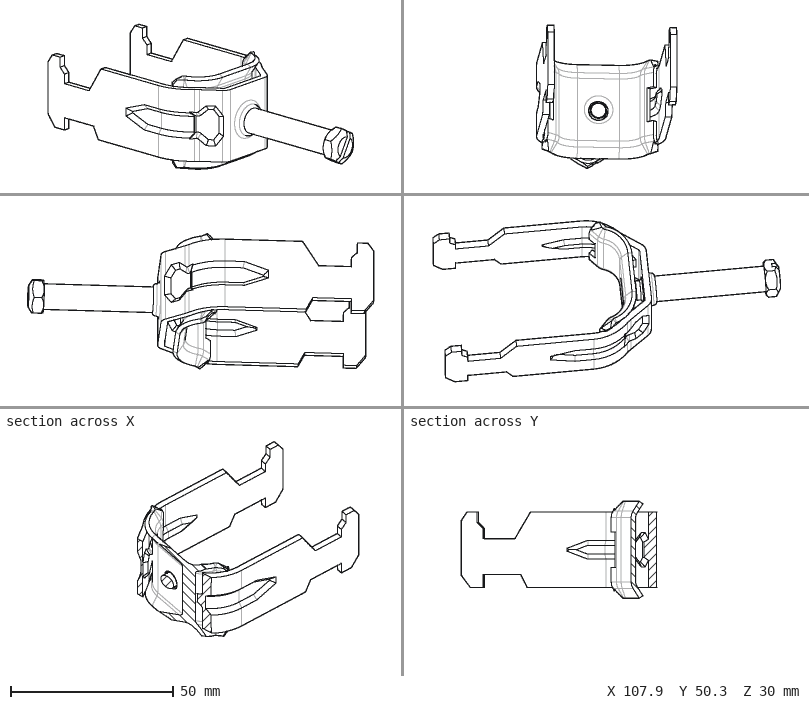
import cadquery as cq
import math

HEADING = -13.9

THICKNESS = 2.0
HALF_SPREAD = 20.0
ARM_END = -49.1
BACK = 15.9
HALF_HEIGHT = 11.7
SHOULDER_RADIUS = 15.3
SHOULDER_START = -3.1
SHOULDER_ANGLE = 45
FLANK_ANGLE = 36
FLANK_RADIUS = 9.7
CORNER_RADIUS = 3.0
CORNER_HALF_WIDTH = 9.4

HOOK_TOP_CHAMFER = 1.8
HOOK_TOP_FLAT_END = 5.1
NECK_START = 6.9
NECK_TOP_END = 17.0
NECK_BOTTOM_END = 18.9
BODY_TOP_START = 22.0
BODY_BOTTOM_START = 20.9
HOOK_BOTTOM_CHAMFER = 2.9
HOOK_TOP_SHOULDER = 9.0
HOOK_STEP_HIGH = 8.4
HOOK_STEP_LOW = 6.6
NECK_TOP = 3.5
NECK_BOTTOM = -7.7
HOOK_BOTTOM_SHOULDER = -7.9

RIB_DEPTH = 1.3
RIB_TIP = -16.6
RIB_TIP_HALF_HEIGHT = 1.3
RIB_FULL_START = -9.1
RIB_HALF_HEIGHT = 4.1
RIB_WALL_ANGLE = 50
RIB_OVERLAP = 0.4
BEAD_SHRINK = 1.2
PAD_LEAD_IN = 2.5
PAD_FULL_START = 2.8
PAD_FULL_END = 5.7
PAD_END = 8.2
PAD_HALF_HEIGHT = 6.5
PAD_END_HALF_HEIGHT = 3.2

SHANK_DIAMETER = 8.0
SHANK_END = 14.0
NECK_DIAMETER = 6.0
NECK_SHOULDER = 13.2
NECK_END = 11.9
PIN_DIAMETER = 5.0
PIN_START = 11.2
TIP_DIAMETER = 4.5
TIP = 8.2
HEAD_START = 51.7
HEAD_END = 56.3
HEAD_ACROSS_FLATS = 10.0
HEAD_FACE_DIAMETER = 6.7
HEAD_CROWN_START = 54.8
HEAD_UNDERSIDE_CHAMFER = 0.8
SLOT_WIDTH = 1.5
SLOT_BOTTOM = 54.2
SLOT_ANGLE = 60

COLLAR_DIAMETER = 10.0

SADDLE_THICKNESS = 1.5
SADDLE_BACK = 7.5
SADDLE_HALF_FLAT = 6.5
SADDLE_RADIUS = 6.4
SADDLE_TURN = 72
SADDLE_TAIL_RADIUS = 4.1
SADDLE_TAIL_TURN = 30
SADDLE_TAIL_LENGTH = 3.5
SADDLE_HALF_HEIGHT = 15.0
FLARE_START = 9.9
FLARE_RADIUS = 3.7
FLARE_ANGLE = 32
SADDLE_HOLE_DIAMETER = 6.0
SADDLE_HOLE_LIP = 1.4
LEG_NOTCH_HALF_HEIGHT = 5.4
LEG_NOTCH_DEPTH = 2.4
LEG_END = -0.2
LEG_TRIM_LENGTH = 3.0
LEG_TRIM_HEIGHT = 2.9


def bend_corners():
    """Sharp corners of the strap's outer face on the +Y side, arm bend first."""
    shoulder = math.radians(SHOULDER_ANGLE)
    flank_slope = math.tan(math.radians(FLANK_ANGLE))
    arm_x = SHOULDER_START + SHOULDER_RADIUS * math.tan(shoulder / 2)
    waist_x = (HALF_SPREAD + arm_x * math.tan(shoulder) - CORNER_HALF_WIDTH - BACK * flank_slope)
    waist_x /= math.tan(shoulder) - flank_slope
    waist_y = CORNER_HALF_WIDTH + (BACK - waist_x) * flank_slope
    return [(arm_x, HALF_SPREAD), (waist_x, waist_y), (BACK, CORNER_HALF_WIDTH)]


def bend_block(inset):
    """Solid block inside the strap's outer face, moved inward by the inset."""
    angles = [0, SHOULDER_ANGLE, FLANK_ANGLE, 90]
    corners = []
    for (x, y), before, after in zip(bend_corners(), angles, angles[1:]):
        normal = math.radians(90 - (before + after) / 2)
        reach = inset / math.cos(math.radians((after - before) / 2))
        corners.append((x - reach * math.cos(normal), y - reach * math.sin(normal)))
    arm, waist, back = corners
    upper = [(ARM_END - THICKNESS, arm[1]), arm, waist, back]
    lower = [(x, -y) for x, y in reversed(upper)]
    block = cq.Workplane("XY").polyline(upper + lower).close().extrude(HALF_HEIGHT, both=True)
    radii = [SHOULDER_RADIUS - inset, FLANK_RADIUS + inset, CORNER_RADIUS - inset]
    for corner, radius in zip(corners, radii):
        if radius > 0:
            for side in (1, -1):
                picker = cq.selectors.NearestToPointSelector((corner[0], side * corner[1], 0))
                block = block.edges("|Z").edges(picker).fillet(radius)
    return block


def hook_profile():
    """Side outline of the strap with its hooked arm ends, as a slab across both arms."""
    points = [
        (ARM_END, HOOK_TOP_SHOULDER),
        (ARM_END + HOOK_TOP_CHAMFER, HALF_HEIGHT),
        (ARM_END + HOOK_TOP_FLAT_END, HALF_HEIGHT),
        (ARM_END + HOOK_TOP_FLAT_END, HOOK_STEP_HIGH),
        (ARM_END + NECK_START, HOOK_STEP_LOW),
        (ARM_END + NECK_START, NECK_TOP),
        (ARM_END + NECK_TOP_END, NECK_TOP),
        (ARM_END + BODY_TOP_START, HALF_HEIGHT),
        (BACK, HALF_HEIGHT),
        (BACK, -HALF_HEIGHT),
        (ARM_END + BODY_BOTTOM_START, -HALF_HEIGHT),
        (ARM_END + NECK_BOTTOM_END, NECK_BOTTOM),
        (ARM_END + NECK_START, NECK_BOTTOM),
        (ARM_END + NECK_START, -HALF_HEIGHT),
        (ARM_END + HOOK_BOTTOM_CHAMFER, -HALF_HEIGHT),
        (ARM_END, HOOK_BOTTOM_SHOULDER),
    ]
    return cq.Workplane("XZ").polyline(points).close().extrude(HALF_SPREAD, both=True)


def tapered_pad(plane, outline, height, shrink):
    """Raised pad on a plane with sloped walls, its outline shrunk all round."""
    pad = cq.Workplane(plane).polyline(outline).close().offset2D(-shrink, "intersection")
    return pad.extrude(height, taper=RIB_WALL_ANGLE)


def rib_body(surface, surface_shrink):
    """Rib on the +Y side, rising inward from a sheet surface given by its depth below the outer face."""
    wall_slope = math.tan(math.radians(RIB_WALL_ANGLE))
    start = surface - RIB_OVERLAP
    height = RIB_DEPTH + RIB_OVERLAP
    shrink = surface_shrink - RIB_OVERLAP * wall_slope

    run_out = SHOULDER_START + height * wall_slope + shrink
    arm_plane = cq.Plane(origin=(0, HALF_SPREAD - start, 0), xDir=(1, 0, 0), normal=(0, -1, 0))
    arrow = tapered_pad(arm_plane, [
        (RIB_TIP, -RIB_TIP_HALF_HEIGHT),
        (RIB_TIP, RIB_TIP_HALF_HEIGHT),
        (RIB_FULL_START, RIB_HALF_HEIGHT),
        (run_out, RIB_HALF_HEIGHT),
        (run_out, -RIB_HALF_HEIGHT),
        (RIB_FULL_START, -RIB_HALF_HEIGHT),
    ], height, shrink)

    outer = SHOULDER_RADIUS - start
    inner = outer - height
    half_outer = RIB_HALF_HEIGHT - shrink
    half_inner = half_outer - height * wall_slope
    bend_plane = cq.Plane(
        origin=(SHOULDER_START, HALF_SPREAD - SHOULDER_RADIUS, 0), xDir=(0, 1, 0), normal=(-1, 0, 0))
    stem = (
        cq.Workplane(bend_plane)
        .polyline([(outer, half_outer), (inner, half_inner), (inner, -half_inner), (outer, -half_outer)])
        .close()
        .revolve(SHOULDER_ANGLE, (0, 0, 0), (0, 1, 0))
    )

    slope = math.radians(FLANK_ANGLE)
    inward = cq.Vector(-math.sin(slope), -math.cos(slope), 0)
    waist = cq.Vector(*bend_corners()[1], 0)
    flank_plane = cq.Plane(
        origin=waist + inward * start, xDir=(math.cos(slope), -math.sin(slope), 0), normal=inward)
    upper = [
        (-PAD_LEAD_IN - shrink, RIB_HALF_HEIGHT),
        (0, RIB_HALF_HEIGHT),
        (PAD_FULL_START, PAD_HALF_HEIGHT),
        (PAD_FULL_END, PAD_HALF_HEIGHT),
        (PAD_END, PAD_END_HALF_HEIGHT),
    ]
    lower = [(along, -height_at) for along, height_at in reversed(upper)]
    pad = tapered_pad(flank_plane, upper + lower, height, shrink)
    return arrow.union(stem).union(pad)


def make_collar():
    """Collar drawn out of the back plate, concave at its foot and rounded at its mouth."""
    radius = COLLAR_DIAMETER / 2
    bore = SHANK_DIAMETER / 2
    fillet = radius - bore
    diagonal = fillet * math.sqrt(0.5)
    waist = BACK + fillet
    profile = (
        cq.Workplane("XY")
        .moveTo(BACK, bore)
        .lineTo(BACK, radius + fillet)
        .threePointArc((waist - diagonal, radius + fillet - diagonal), (waist, radius))
        .threePointArc((waist + diagonal, bore + diagonal), (waist + fillet, bore))
        .close()
    )
    return profile.revolve(360, (0, 0, 0), (1, 0, 0))


def make_strap():
    strap = bend_block(0).cut(bend_block(THICKNESS)).intersect(hook_profile())
    groove = rib_body(0, 0)
    bead = rib_body(THICKNESS, BEAD_SHRINK)
    strap = strap.cut(groove).cut(groove.mirror("XZ"))
    strap = strap.union(bead).union(bead.mirror("XZ"))
    hole = cq.Workplane("YZ").circle(SHANK_DIAMETER / 2).extrude(BACK)
    return strap.cut(hole).union(make_collar())


def polar(centre, radius, angle):
    """Point at a radius and an angle in radians from a centre."""
    return (centre[0] + radius * math.cos(angle), centre[1] + radius * math.sin(angle))


def saddle_wall():
    """Cross-section of the saddle sheet: straight web, both rims flared away from the clamped pipe."""
    flare = math.radians(FLARE_ANGLE)
    pivot_x = SADDLE_BACK + FLARE_RADIUS
    inner_radius = FLARE_RADIUS
    outer_radius = FLARE_RADIUS - SADDLE_THICKNESS

    def bend(radius, angle):
        return (pivot_x - radius * math.cos(angle), FLARE_START + radius * math.sin(angle))

    def below(point):
        return (point[0], -point[1])

    inner_end = bend(inner_radius, flare)
    rise = SADDLE_HALF_HEIGHT - inner_end[1]
    inner_rim = (inner_end[0] + rise * math.tan(flare), SADDLE_HALF_HEIGHT)
    outer_rim = (inner_rim[0] + SADDLE_THICKNESS * math.cos(flare),
                 inner_rim[1] - SADDLE_THICKNESS * math.sin(flare))
    outer_end = bend(outer_radius, flare)
    inner_start = bend(inner_radius, 0)
    outer_start = bend(outer_radius, 0)
    inner_middle = bend(inner_radius, flare / 2)
    outer_middle = bend(outer_radius, flare / 2)
    return (
        cq.Workplane("XZ")
        .moveTo(*below(inner_start))
        .lineTo(*inner_start)
        .threePointArc(inner_middle, inner_end)
        .lineTo(*inner_rim)
        .lineTo(*outer_rim)
        .lineTo(*outer_end)
        .threePointArc(outer_middle, outer_start)
        .lineTo(*below(outer_start))
        .threePointArc(below(outer_middle), below(outer_end))
        .lineTo(*below(outer_rim))
        .lineTo(*below(inner_rim))
        .lineTo(*below(inner_end))
        .threePointArc(below(inner_middle), below(inner_start))
        .close()
    )


def make_saddle(strap):
    corner_centre = (SADDLE_BACK - SADDLE_RADIUS, SADDLE_HALF_FLAT)
    turn = math.radians(SADDLE_TURN)
    tail_turn = math.radians(SADDLE_TURN - SADDLE_TAIL_TURN)
    tail_centre = polar(corner_centre, SADDLE_RADIUS + SADDLE_TAIL_RADIUS, turn)
    tail_start = polar(tail_centre, -SADDLE_TAIL_RADIUS, tail_turn)
    tail_end = polar(tail_start, SADDLE_TAIL_LENGTH, tail_turn + math.pi / 2)
    path = (
        cq.Workplane("XY")
        .moveTo(SADDLE_BACK, 0)
        .lineTo(SADDLE_BACK, SADDLE_HALF_FLAT)
        .threePointArc(polar(corner_centre, SADDLE_RADIUS, turn / 2),
                       polar(corner_centre, SADDLE_RADIUS, turn))
        .threePointArc(polar(tail_centre, -SADDLE_TAIL_RADIUS, (turn + tail_turn) / 2), tail_start)
        .lineTo(*tail_end)
    )
    half = saddle_wall().sweep(path)

    notch = (
        cq.Workplane("XY")
        .box(4 * SADDLE_THICKNESS, 2 * LEG_NOTCH_DEPTH, 2 * LEG_NOTCH_HALF_HEIGHT)
        .rotate((0, 0, 0), (0, 0, 1), math.degrees(tail_turn))
        .translate((*tail_end, 0))
    )
    half = half.cut(notch)
    saddle = half.union(half.mirror("XZ"))

    slope = (
        cq.Workplane("XZ")
        .moveTo(LEG_END, SADDLE_HALF_HEIGHT - LEG_TRIM_HEIGHT)
        .lineTo(LEG_END + LEG_TRIM_LENGTH, SADDLE_HALF_HEIGHT)
        .lineTo(LEG_END, SADDLE_HALF_HEIGHT)
        .close()
        .extrude(2 * HALF_SPREAD, both=True)
    )
    saddle = saddle.cut(slope).cut(slope.mirror("XY"))

    gap = 2 * (HALF_SPREAD - THICKNESS)
    saddle = saddle.intersect(cq.Workplane("XY").box(2 * HALF_SPREAD, gap, 2 * SADDLE_HALF_HEIGHT))

    hole_radius = SADDLE_HOLE_DIAMETER / 2
    lip = SADDLE_HOLE_LIP
    diagonal = lip * math.sqrt(0.5)
    mouth = (
        cq.Workplane("XY")
        .moveTo(SADDLE_BACK, 0)
        .lineTo(SADDLE_BACK, hole_radius + lip)
        .threePointArc((SADDLE_BACK + lip - diagonal, hole_radius + lip - diagonal),
                       (SADDLE_BACK + lip, hole_radius))
        .lineTo(SADDLE_BACK + SADDLE_THICKNESS, hole_radius)
        .lineTo(SADDLE_BACK + SADDLE_THICKNESS, 0)
        .close()
        .revolve(360, (0, 0, 0), (1, 0, 0))
    )
    return saddle.cut(mouth).cut(strap)


def make_bolt():
    neck = NECK_DIAMETER / 2
    shank = SHANK_DIAMETER / 2
    pin = PIN_DIAMETER / 2
    tip = TIP_DIAMETER / 2
    body = (
        cq.Workplane("XY")
        .polyline([(TIP, 0), (TIP, tip), (TIP + pin - tip, pin), (PIN_START, pin),
                   (NECK_END, neck), (NECK_SHOULDER, neck),
                   (SHANK_END, shank), (HEAD_START, shank), (HEAD_START, 0)])
        .close()
        .revolve(360, (0, 0, 0), (1, 0, 0))
    )

    across_corners = HEAD_ACROSS_FLATS / math.cos(math.radians(30))
    corner = across_corners / 2
    hexagon = (
        cq.Workplane("YZ", origin=(HEAD_START, 0, 0))
        .transformed(rotate=(0, 0, 90))
        .polygon(6, across_corners)
        .extrude(HEAD_END - HEAD_START)
    )
    crown = (
        cq.Workplane("XY")
        .polyline([(HEAD_START, 0), (HEAD_START, HEAD_ACROSS_FLATS / 2),
                   (HEAD_START + HEAD_UNDERSIDE_CHAMFER, corner), (HEAD_CROWN_START, corner),
                   (HEAD_END, HEAD_FACE_DIAMETER / 2), (HEAD_END, 0)])
        .close()
        .revolve(360, (0, 0, 0), (1, 0, 0))
    )
    slot = (
        cq.Workplane("YZ", origin=(SLOT_BOTTOM, 0, 0))
        .transformed(rotate=(0, 0, SLOT_ANGLE))
        .rect(2 * across_corners, SLOT_WIDTH)
        .extrude(HEAD_END - SLOT_BOTTOM)
    )
    return body.union(hexagon.intersect(crown).cut(slot))


strap = make_strap()
saddle = make_saddle(strap)
bolt = make_bolt()
bodies = [body.rotate((0, 0, 0), (0, 0, 1), HEADING) for body in (strap, saddle, bolt)]
result = cq.Compound.makeCompound([body.val() for body in bodies])